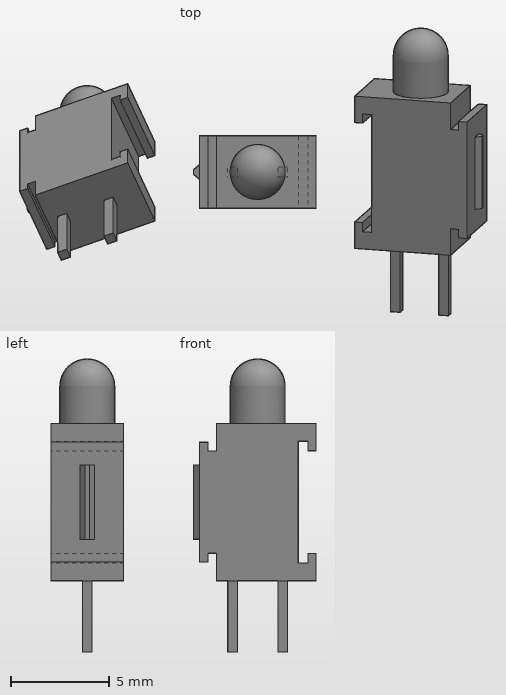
import cadquery as cq

total_height = 14.89

pin_side = 0.5
pin_length = 3.62
pin_spacing = 2.55

housing_height = 8.0
housing_depth = 3.7
housing_left = -2.1
housing_length = 5.06

tongue_thickness = 0.45
tongue_height = 6.1
neck_length = 0.42
neck_height = 5.21

slot_depth = 0.9
slot_height = 6.18
lip_thickness = 0.42
slot_mouth_height = 5.21

key_length = 3.78
key_base_width = 0.76
key_tip_width = 0.22
key_projection = 0.3

lamp_diameter = 2.8

housing_right = housing_left + housing_length
housing_middle = pin_length + housing_height / 2
housing_top = pin_length + housing_height
neck_left = housing_left - neck_length
tongue_left = neck_left - tongue_thickness
lamp_radius = lamp_diameter / 2
dome_base = total_height - lamp_radius


def block(left, right, height):
    """Full-depth block between two X positions, centred on the housing's mid-height."""
    return (
        cq.Workplane("XY")
        .box(right - left, housing_depth, height)
        .translate(((left + right) / 2, 0, housing_middle))
    )


def make_housing():
    """Body with a T-shaped tongue on its left and a matching T-slot on its right."""
    body = block(housing_left, housing_right, housing_height)
    neck = block(neck_left, housing_left, neck_height)
    tongue = block(tongue_left, neck_left, tongue_height)
    slot_left = housing_right - slot_depth
    lip_left = housing_right - lip_thickness
    slot = block(slot_left, lip_left, slot_height)
    slot_mouth = block(lip_left, housing_right, slot_mouth_height)
    return body.union(neck).union(tongue).cut(slot).cut(slot_mouth)


def make_key():
    """Vertical trapezoidal rib standing on the outer face of the tongue."""
    tip_left = tongue_left - key_projection
    return (
        cq.Workplane("XY", origin=(0, 0, housing_middle - key_length / 2))
        .moveTo(tongue_left, -key_base_width / 2)
        .lineTo(tongue_left, key_base_width / 2)
        .lineTo(tip_left, key_tip_width / 2)
        .lineTo(tip_left, -key_tip_width / 2)
        .close()
        .extrude(key_length)
    )


def make_lamp():
    """Cylinder with a hemispherical dome, seated on top of the housing."""
    return (
        cq.Workplane("XZ")
        .moveTo(0, housing_top)
        .lineTo(lamp_radius, housing_top)
        .lineTo(lamp_radius, dome_base)
        .radiusArc((0, total_height), -lamp_radius)
        .close()
        .revolve(360, (0, 0, 0), (0, 1, 0))
    )


def make_pin(center_x):
    """Square pin reaching from its tip up to the underside of the housing."""
    return (
        cq.Workplane("XY")
        .center(center_x, 0)
        .rect(pin_side, pin_side)
        .extrude(pin_length)
    )


housing = make_housing()
key = make_key()
lamp = make_lamp()
pins = [make_pin(side * pin_spacing / 2) for side in (-1, 1)]

result = cq.Compound.makeCompound(
    [housing.val(), key.val(), lamp.val(), *[pin.val() for pin in pins]]
)